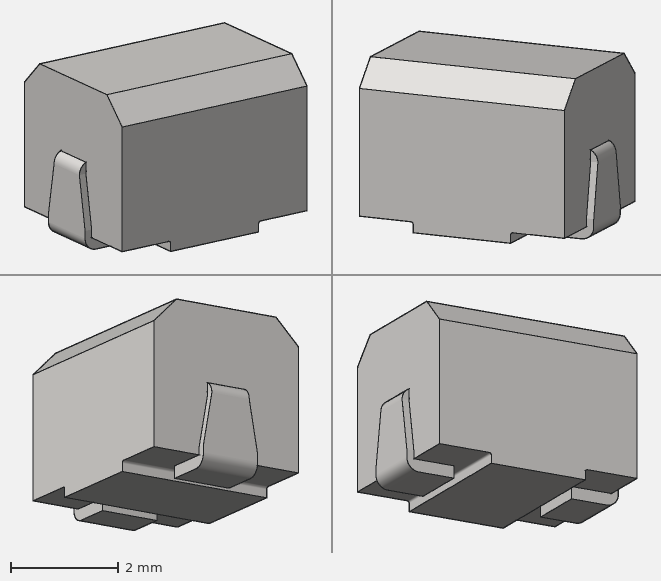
import cadquery as cq
import math

LENGTH = 4.5
WIDTH = 3.2
HEIGHT = 3.2

LEAD_THICKNESS = 0.15
BEND_RADIUS = 0.25
FOOT_LENGTH = 1.0
FOOT_THICKNESS = 0.245
FOOT_WIDTH = 1.2
TOP_WIDTH = 0.83
TAPER_START = 0.4

HOUSING_LENGTH = LENGTH - 2 * LEAD_THICKNESS
ROOF_CHAMFER = 0.5
PARTING_HEIGHT = 1.7
PEDESTAL_LENGTH = 2.0
PEDESTAL_BOTTOM = 0.035
PEDESTAL_FILLET = 0.05

TOP_BEND_START = PARTING_HEIGHT - BEND_RADIUS


def upper_housing():
    """Block above the parting line, with its two long roof edges chamfered."""
    height = HEIGHT - PARTING_HEIGHT
    return (
        cq.Workplane("XY", origin=(0, 0, PARTING_HEIGHT))
        .box(WIDTH, HOUSING_LENGTH, height, centered=(True, True, False))
        .edges(">Z and |Y")
        .chamfer(ROOF_CHAMFER)
    )


def lower_housing():
    """Block below the parting line, standing on a full-width pedestal."""
    half_length = HOUSING_LENGTH / 2
    half_pedestal = PEDESTAL_LENGTH / 2
    outline = [
        (-half_length, PARTING_HEIGHT),
        (-half_length, FOOT_THICKNESS),
        (-half_pedestal, FOOT_THICKNESS),
        (-half_pedestal, PEDESTAL_BOTTOM),
        (half_pedestal, PEDESTAL_BOTTOM),
        (half_pedestal, FOOT_THICKNESS),
        (half_length, FOOT_THICKNESS),
        (half_length, PARTING_HEIGHT),
    ]
    inner_corners = cq.selectors.BoxSelector(
        (-WIDTH, -half_pedestal - PEDESTAL_FILLET, FOOT_THICKNESS - PEDESTAL_FILLET),
        (WIDTH, half_pedestal + PEDESTAL_FILLET, FOOT_THICKNESS + PEDESTAL_FILLET),
    )
    return (
        cq.Workplane("YZ")
        .polyline(outline)
        .close()
        .extrude(WIDTH / 2, both=True)
        .edges("|X")
        .edges(inner_corners)
        .fillet(PEDESTAL_FILLET)
    )


def lead_side_profile():
    """Lead on the +Y end as a constant-width strip: foot, upright leg and top bend."""
    outer_y = LENGTH / 2
    inner_y = outer_y - LEAD_THICKNESS
    bend_y = outer_y - BEND_RADIUS
    inner_radius = BEND_RADIUS - LEAD_THICKNESS
    diagonal = math.sqrt(0.5)
    return (
        cq.Workplane("YZ")
        .moveTo(outer_y - FOOT_LENGTH, 0)
        .lineTo(bend_y, 0)
        .threePointArc(
            (bend_y + BEND_RADIUS * diagonal, BEND_RADIUS * (1 - diagonal)),
            (outer_y, BEND_RADIUS),
        )
        .lineTo(outer_y, TOP_BEND_START)
        .threePointArc(
            (bend_y + BEND_RADIUS * diagonal, TOP_BEND_START + BEND_RADIUS * diagonal),
            (bend_y, PARTING_HEIGHT),
        )
        .lineTo(bend_y, PARTING_HEIGHT - LEAD_THICKNESS)
        .threePointArc(
            (bend_y + inner_radius * diagonal, TOP_BEND_START + inner_radius * diagonal),
            (inner_y, TOP_BEND_START),
        )
        .lineTo(inner_y, FOOT_THICKNESS)
        .lineTo(outer_y - FOOT_LENGTH, FOOT_THICKNESS)
        .close()
        .extrude(FOOT_WIDTH / 2, both=True)
    )


def lead_front_profile():
    """Tapered outline of the lead, extruded along Y past the whole part."""
    half_foot = FOOT_WIDTH / 2
    half_top = TOP_WIDTH / 2
    outline = [
        (-half_foot, 0),
        (half_foot, 0),
        (half_foot, TAPER_START),
        (half_top, TOP_BEND_START),
        (half_top, PARTING_HEIGHT),
        (-half_top, PARTING_HEIGHT),
        (-half_top, TOP_BEND_START),
        (-half_foot, TAPER_START),
    ]
    return cq.Workplane("XZ").polyline(outline).close().extrude(LENGTH, both=True)


def terminal(angle):
    """One terminal, turned about Z from the +Y end."""
    lead = lead_side_profile().intersect(lead_front_profile())
    return lead.rotate((0, 0, 0), (0, 0, 1), angle).solids()


terminals = [terminal(angle) for angle in (0, 180)]

housing = upper_housing().union(lower_housing(), clean=False)
for lead in terminals:
    housing = housing.cut(lead, clean=False)

housing = housing.solids()

result = cq.Compound.makeCompound([housing.val(), *[lead.val() for lead in terminals]])